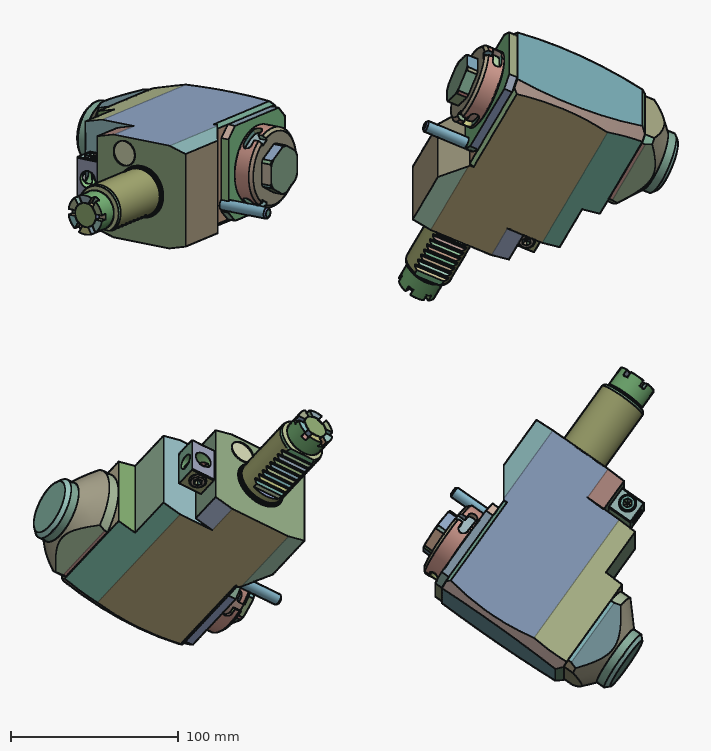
import cadquery as cq
import math


OVERALL_WIDTH = 146.3
OVERALL_LENGTH = 174.0

HALF_HEIGHT = 32.0
BLOCK_HALF_WIDTH = 32.0
BACK_Y = 115.2
SHOULDER_Y = 51.3
STEP_Y = 21.2
STEP_X = -55.2
SPINDLE_SIDE_X = -67.0
TOOL_SIDE_X = 19.5
RIGHT_SLOPE_START_Y = 33.8
SIDE_SLOPE = math.tan(math.radians(15))
SLOPE_LENGTH = 11.8
SLOPE_TOP_X = STEP_X + SLOPE_LENGTH
BACK_CORNER_CHAMFER = 3.5
BACK_CHAMFER = 3.1
CROWN_RADIUS = 150.7
CROWN_X = -12.4
TOOL_EDGE_CHAMFER = 2.5

SPINDLE_Y = 85.0
NOSE_RADIUS = 33.4
NOSE_NECK_RADIUS = 19.5
NOSE_CONE_START_X = -73.5
NOSE_CONE_END_X = -86.0
NOSE_BACK_Y = 111.2
NOSE_FLAT_X = -69.3
CAP_RADIUS = 19.3
CAP_TIP_X = -94.0
CAP_CHAMFER = 2.6

FLANGE_HALF = 29.5
FLANGE_CORNER = 6.8
FLANGE_X = 24.7
RING_RADIUS = 24.5
RING_GROOVE_RADIUS = 22.6
RING_START_X = 25.5
RING_END_X = 37.8
RING_CHAMFER = 2.0
RING_SLOT_COUNT = 3
RING_FIRST_SLOT_ANGLE = 30
RING_SLOT_LENGTH = 17.4
RING_SLOT_WIDTH = 5.7
RING_SLOT_X = 30.0
RING_SLOT_DEPTH = 3.5
RING_NOTCH_WIDTH = 4.7
NUT_FLATS = 27.3
NUT_RADIUS = 15.1
NUT_END_X = 44.7
NUT_CHAMFER = 0.5
PIN_RADIUS = 3.5
PIN_Y = 57.0
PIN_Z = -18.8
PIN_END_X = CAP_TIP_X + OVERALL_WIDTH
PIN_CHAMFER = 1.0

COLLAR_RADIUS = 16.0
COLLAR_LENGTH = 1.0
COLLAR_CHAMFER = 0.5
RELIEF_RADIUS = 14.6
RELIEF_LENGTH = 1.0
SHANK_RADIUS = 15.0
SHANK_LENGTH = 44.7
SHANK_CHAMFER_LENGTH = 1.5
SHANK_CHAMFER_DEPTH = 0.5
RACK_FLAT_Z = -12.0
RACK_START = 6.5
RACK_PITCH = 4.0
RACK_GROOVES = 8
RACK_FIRST_GROOVE = 11.1
RACK_DEPTH = 2.0
RACK_MOUTH = 3.5
RACK_ROOT = 1.0
NECK_RADIUS = 9.0
DRIVE_RADIUS = 12.2
DRIVE_START = 45.8
TIP = OVERALL_LENGTH - BACK_Y
DRIVE_CHAMFER = 0.5
DRIVE_SLOT_COUNT = 6
DRIVE_SLOT_WIDTH = 3.5
DRIVE_SLOT_DEPTH = 4.0
DRIVE_CORE_RADIUS = 7.5
DRIVE_CORE_RECESS = 0.3

COOLANT_LEFT_X = -47.7
COOLANT_X = (COOLANT_LEFT_X - BLOCK_HALF_WIDTH) / 2
COOLANT_FRONT_Y = 1.5
COOLANT_BACK_Y = 16.0
COOLANT_HALF_HEIGHT = 12.9
COOLANT_EDGE_CHAMFER = 0.5
FRONT_HOLE_RADIUS = 5.4
FRONT_HOLE_DEPTH = 12.5
SIDE_HOLE_RADIUS = 4.7
SIDE_HOLE_DEPTH = 14.0
SIDE_PILOT_RADIUS = 1.4
SIDE_PILOT_DEPTH = 0.9
SCREW_Y = 7.5
SCREW_RADIUS = 5.2
SCREW_HEIGHT = 1.4
SCREW_CHAMFER = 0.9
SOCKET_FLATS = 4.9
SOCKET_DEPTH = 2.5
SOCKET_TAPER = 40

RECESS_X = -12.5
RECESS_Z = 21.5
RECESS_RADIUS = 7.7
RECESS_DEPTH = 0.7


def rod_x(start, end, radius, y=SPINDLE_Y, z=0.0):
    """Cylinder along X between two X places."""
    return cq.Workplane("YZ", origin=(start, y, z)).circle(radius).extrude(end - start)


def rod_y(start, end, radius, x=0.0, z=0.0):
    """Cylinder along -Y; start and end are distances in front of the front face."""
    return cq.Workplane("XZ", origin=(x, -start, z)).circle(radius).extrude(end - start)


def sloped_prism(left, right, left_slope, right_slope, y_start, y_end):
    """Prism along Y, flat on top and below, with 15 degree slopes at both sides."""
    left_z = HALF_HEIGHT - left_slope * SIDE_SLOPE
    right_z = HALF_HEIGHT - right_slope * SIDE_SLOPE
    outline = [
        (left, -left_z),
        (left + left_slope, -HALF_HEIGHT),
        (right - right_slope, -HALF_HEIGHT),
        (right, -right_z),
        (right, right_z),
        (right - right_slope, HALF_HEIGHT),
        (left + left_slope, HALF_HEIGHT),
        (left, left_z),
    ]
    return cq.Workplane("XZ", origin=(0, y_end, 0)).polyline(outline).close().extrude(y_end - y_start)


def make_housing():
    """Stepped housing with sloped sides and chamfered back edges."""
    front = sloped_prism(-BLOCK_HALF_WIDTH, BLOCK_HALF_WIDTH, SLOPE_LENGTH, SLOPE_LENGTH, 0, STEP_Y)
    spindle_slope = SLOPE_TOP_X - SPINDLE_SIDE_X
    rear = sloped_prism(SPINDLE_SIDE_X, BLOCK_HALF_WIDTH, spindle_slope, SLOPE_LENGTH, STEP_Y, BACK_Y)
    plan = [
        (STEP_X, STEP_Y),
        (BLOCK_HALF_WIDTH, STEP_Y),
        (BLOCK_HALF_WIDTH, RIGHT_SLOPE_START_Y),
        (TOOL_SIDE_X, SHOULDER_Y),
        (TOOL_SIDE_X, BACK_Y),
        (SPINDLE_SIDE_X + BACK_CORNER_CHAMFER, BACK_Y),
        (SPINDLE_SIDE_X, BACK_Y - BACK_CORNER_CHAMFER),
        (SPINDLE_SIDE_X, SHOULDER_Y),
        (STEP_X, SHOULDER_Y),
    ]
    rear = rear.intersect(
        cq.Workplane("XY").polyline(plan).close().extrude(HALF_HEIGHT, both=True)
    )
    for side in (1, -1):
        rear = rear.intersect(make_crown(side)).cut(make_edge_wedge(side))
    return front.union(rear)


def make_crown(side):
    """45 degree cone about a far axis: gives the bowed chamfer along a back edge."""
    axis_z = side * (HALF_HEIGHT - BACK_CHAMFER - CROWN_RADIUS)
    depth = BACK_Y - STEP_Y
    cone = cq.Solid.makeCone(
        CROWN_RADIUS, CROWN_RADIUS + depth, depth,
        pnt=cq.Vector(CROWN_X, BACK_Y, axis_z), dir=cq.Vector(0, -1, 0),
    )
    return cq.Workplane(cone)


def make_edge_wedge(side):
    """Cutter for the 45 degree chamfer along the tool side edge, from the shoulder to the back."""
    return (
        cq.Workplane("XZ", origin=(0, BACK_Y, 0))
        .moveTo(TOOL_SIDE_X, side * HALF_HEIGHT)
        .lineTo(TOOL_SIDE_X - TOOL_EDGE_CHAMFER, side * HALF_HEIGHT)
        .lineTo(TOOL_SIDE_X, side * (HALF_HEIGHT - TOOL_EDGE_CHAMFER))
        .close().extrude(BACK_Y - SHOULDER_Y)
    )


def make_nose():
    """Bearing nose: turned shape trimmed by the sloped sides of the housing, with its cap."""
    profile = [
        (SPINDLE_SIDE_X, 0),
        (SPINDLE_SIDE_X, NOSE_RADIUS),
        (NOSE_CONE_START_X, NOSE_RADIUS),
        (NOSE_CONE_END_X, NOSE_NECK_RADIUS),
        (NOSE_CONE_END_X, CAP_RADIUS),
        (CAP_TIP_X + CAP_CHAMFER, CAP_RADIUS),
        (CAP_TIP_X, CAP_RADIUS - CAP_CHAMFER),
        (CAP_TIP_X, 0),
    ]
    turned = (
        cq.Workplane("XY").polyline(profile).close()
        .revolve(360, (0, 0, 0), (1, 0, 0)).translate((0, SPINDLE_Y, 0))
    )
    flat_z = HALF_HEIGHT - (SLOPE_TOP_X - NOSE_FLAT_X) * SIDE_SLOPE
    tip_z = HALF_HEIGHT - (SLOPE_TOP_X - CAP_TIP_X) * SIDE_SLOPE
    side_outline = [
        (SPINDLE_SIDE_X, -flat_z),
        (SPINDLE_SIDE_X, flat_z),
        (NOSE_FLAT_X, flat_z),
        (CAP_TIP_X, tip_z),
        (CAP_TIP_X, -tip_z),
        (NOSE_FLAT_X, -flat_z),
    ]
    envelope = (
        cq.Workplane("XZ", origin=(0, NOSE_BACK_Y, 0)).polyline(side_outline).close().extrude(NOSE_BACK_Y)
    )
    return turned.intersect(envelope)


def make_ring():
    """Spindle ring with T-shaped spanner slots open at its outer face."""
    ring = rod_x(RING_START_X, RING_END_X, RING_RADIUS).faces(">X").chamfer(RING_CHAMFER)
    floor_radius = RING_RADIUS - RING_SLOT_DEPTH
    cutter_bottom = RING_RADIUS - 2 * RING_SLOT_DEPTH
    slot = (
        cq.Workplane("XY", origin=(RING_SLOT_X, SPINDLE_Y, cutter_bottom))
        .slot2D(RING_SLOT_LENGTH, RING_SLOT_WIDTH, 90).extrude(2 * RING_SLOT_DEPTH)
    )
    notch = cq.Workplane("XY").box(
        RING_END_X - RING_SLOT_X, RING_NOTCH_WIDTH, 2 * RING_SLOT_DEPTH, centered=(False, True, False)
    ).translate((RING_SLOT_X, SPINDLE_Y, cutter_bottom))
    cutter = slot.union(notch).cut(rod_x(RING_START_X, RING_END_X, floor_radius))
    for index in range(RING_SLOT_COUNT):
        angle = RING_FIRST_SLOT_ANGLE + index * 360 / RING_SLOT_COUNT
        ring = ring.cut(cutter.rotate((0, SPINDLE_Y, 0), (1, SPINDLE_Y, 0), angle))
    return ring


def make_tool_side():
    """Flange, ring and nut on the spindle axis, with the pin beside them."""
    flange = (
        cq.Workplane("YZ", origin=(TOOL_SIDE_X, SPINDLE_Y, 0))
        .rect(2 * FLANGE_HALF, 2 * FLANGE_HALF).extrude(FLANGE_X - TOOL_SIDE_X)
        .edges("|X").chamfer(FLANGE_CORNER)
    )
    groove = rod_x(FLANGE_X, RING_START_X, RING_GROOVE_RADIUS)
    hexagon = (
        cq.Workplane("YZ", origin=(RING_END_X, 0, 0))
        .polygon(6, NUT_FLATS / math.cos(math.pi / 6)).extrude(NUT_END_X - RING_END_X)
        .rotate((0, 0, 0), (1, 0, 0), 90).translate((0, SPINDLE_Y, 0))
    )
    nut = hexagon.intersect(rod_x(RING_END_X, NUT_END_X, NUT_RADIUS).faces(">X").chamfer(NUT_CHAMFER))
    pin = rod_x(TOOL_SIDE_X, PIN_END_X, PIN_RADIUS, PIN_Y, PIN_Z).faces(">X").chamfer(PIN_CHAMFER)
    return flange.union(groove).union(make_ring()).union(nut).union(pin)


def make_shank():
    """Shank with a collar and relief groove at the root and a toothed clamping flat underneath."""
    shank = rod_y(COLLAR_LENGTH + RELIEF_LENGTH, SHANK_LENGTH, SHANK_RADIUS).faces("<Y").chamfer(
        SHANK_CHAMFER_LENGTH, SHANK_CHAMFER_DEPTH
    )
    flat = cq.Workplane("XY").box(
        2 * SHANK_RADIUS, SHANK_LENGTH - RACK_START, SHANK_RADIUS, centered=(True, False, False)
    ).translate((0, -SHANK_LENGTH, RACK_FLAT_Z - SHANK_RADIUS))
    shank = shank.cut(flat)
    for index in range(RACK_GROOVES):
        center_y = -(RACK_FIRST_GROOVE + index * RACK_PITCH)
        groove = (
            cq.Workplane("YZ")
            .moveTo(center_y - RACK_MOUTH / 2, RACK_FLAT_Z)
            .lineTo(center_y + RACK_MOUTH / 2, RACK_FLAT_Z)
            .lineTo(center_y + RACK_ROOT / 2, RACK_FLAT_Z + RACK_DEPTH)
            .lineTo(center_y - RACK_ROOT / 2, RACK_FLAT_Z + RACK_DEPTH)
            .close().extrude(SHANK_RADIUS, both=True)
        )
        shank = shank.cut(groove)
    collar = rod_y(0, COLLAR_LENGTH, COLLAR_RADIUS).faces("<Y").chamfer(COLLAR_CHAMFER)
    relief = rod_y(COLLAR_LENGTH, COLLAR_LENGTH + RELIEF_LENGTH, RELIEF_RADIUS)
    return shank.union(relief).union(collar)


def make_drive():
    """Drive end behind a narrow neck, with radial slots around a solid core."""
    drive = rod_y(DRIVE_START, TIP, DRIVE_RADIUS).faces(">Y").chamfer(DRIVE_CHAMFER)
    slot = cq.Workplane("XY").box(
        DRIVE_RADIUS, DRIVE_SLOT_DEPTH, DRIVE_SLOT_WIDTH, centered=(False, False, True)
    ).translate((0, -TIP, 0))
    for index in range(DRIVE_SLOT_COUNT):
        drive = drive.cut(slot.rotate((0, 0, 0), (0, 1, 0), index * 360 / DRIVE_SLOT_COUNT))
    core = rod_y(DRIVE_START, TIP - DRIVE_CORE_RECESS, DRIVE_CORE_RADIUS)
    bore = rod_y(DRIVE_START, TIP, DRIVE_CORE_RADIUS)
    neck = rod_y(SHANK_LENGTH, DRIVE_START, NECK_RADIUS)
    return drive.cut(bore).union(core).union(neck)


def make_coolant_block():
    """Side block with two crossing bores and a set screw above and below."""
    block = cq.Workplane("XY").box(
        -BLOCK_HALF_WIDTH - COOLANT_LEFT_X, COOLANT_BACK_Y - COOLANT_FRONT_Y, 2 * COOLANT_HALF_HEIGHT,
        centered=(False, False, True),
    ).translate((COOLANT_LEFT_X, COOLANT_FRONT_Y, 0)).edges("|X").chamfer(COOLANT_EDGE_CHAMFER)
    center_y = (COOLANT_FRONT_Y + COOLANT_BACK_Y) / 2
    hole_end_x = COOLANT_LEFT_X + SIDE_HOLE_DEPTH
    front_floor = -COOLANT_FRONT_Y - FRONT_HOLE_DEPTH
    front_hole = rod_y(front_floor, -COOLANT_FRONT_Y, FRONT_HOLE_RADIUS, COOLANT_X)
    side_hole = rod_x(COOLANT_LEFT_X, hole_end_x, SIDE_HOLE_RADIUS, center_y)
    side_pilot = rod_x(hole_end_x, hole_end_x + SIDE_PILOT_DEPTH, SIDE_PILOT_RADIUS, center_y)
    screw_top = COOLANT_HALF_HEIGHT + SCREW_HEIGHT
    screw = (
        cq.Workplane("XY", origin=(COOLANT_X, SCREW_Y, COOLANT_HALF_HEIGHT))
        .circle(SCREW_RADIUS).extrude(SCREW_HEIGHT).faces(">Z").chamfer(SCREW_CHAMFER)
    )
    socket = (
        cq.Workplane("XY", origin=(COOLANT_X, SCREW_Y, screw_top))
        .polygon(6, SOCKET_FLATS / math.cos(math.pi / 6)).extrude(-SOCKET_DEPTH, taper=SOCKET_TAPER)
    )
    for head in (screw, screw.mirror("XY")):
        block = block.union(head)
    for cavity in (front_hole, side_hole, side_pilot, socket, socket.mirror("XY")):
        block = block.cut(cavity)
    return block


recess = rod_y(-RECESS_DEPTH, 0, RECESS_RADIUS, RECESS_X, RECESS_Z)

result = (
    make_housing()
    .union(make_nose())
    .union(make_tool_side())
    .union(make_coolant_block())
    .cut(recess)
    .union(make_shank())
    .union(make_drive())
)